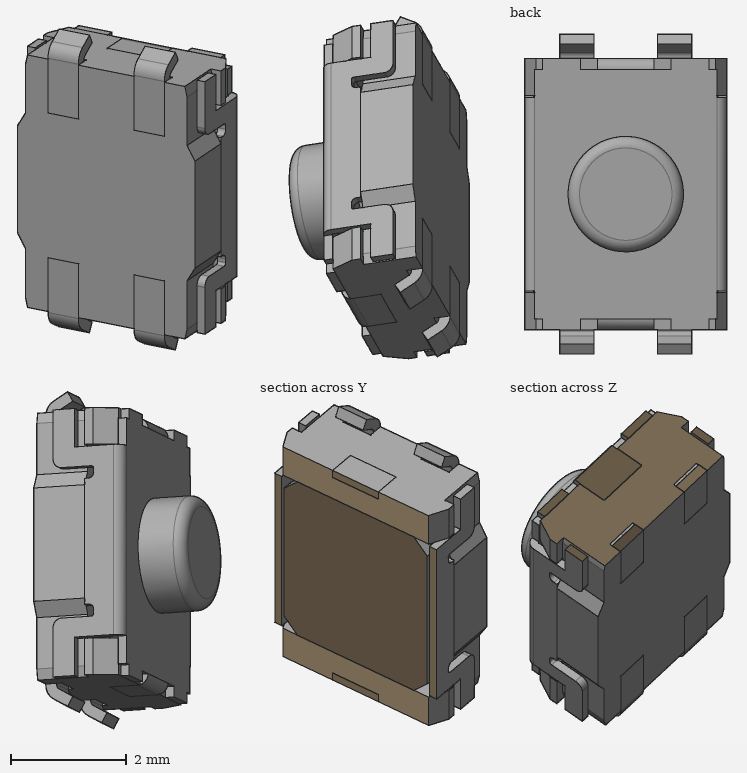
import cadquery as cq
import math


width = 3.5
total_height = 2.5
terminal_span = 5.54
half_x = width / 2
half_z = 2.35

sheet = 0.155
cover_top = 1.65
side_half_z = 1.675
side_bend_radius = 0.17
step_z = 2.16
end_tab_inner_x = 0.785
end_tab_outer_x = 1.44
clip_half_x = 0.495
clip_bend_radius = 0.2
hook_top = 0.76
hook_bottom = 0.36
hook_inner_z = 1.325
hook_radius = 0.155
slot_top = 1.11
slot_inner_z = 1.11
slot_outer_radius = 0.05
slot_inner_radius = 0.1

ledge_y = 0.94
base_top = cover_top - sheet
end_wall_z = 1.705
wall_chamfer_x = 0.2
wall_chamfer_y = 0.4
recess_x = half_x - sheet
ramp_inner_z = 0.995
ramp_outer_z = 1.26
taper_start_z = step_z
taper_depth = 0.045
relief_radius = 0.09

button_diameter = 2.0
button_fillet = 0.2
flange_half_x = 1.55
flange_bottom = 1.25
flange_top = 1.45
flange_chamfer = 0.275

terminal_width = 0.6
terminal_thickness = 0.2
terminal_x = 0.85
terminal_inner_z = 1.345
bend_start_z = 2.365
bend_radius = 0.3
bend_angle = math.radians(60)

BOTH_SIDES = (1, -1)


def block(x_range, y_range, z_range):
    """Axis-aligned box given by its limits along each axis."""
    corners = list(zip(x_range, y_range, z_range))
    size = [high - low for low, high in zip(*corners)]
    return cq.Workplane("XY").box(*size, centered=False).translate(corners[0])


def plate(outline, y_low, y_high):
    """Plate with an (x, z) outline, between two Y levels."""
    sketch = cq.Workplane("XZ", origin=(0, y_low, 0)).polyline(outline).close()
    return sketch.extrude(y_low - y_high)


def both_x(body):
    return body.union(body.mirror("YZ"))


def both_z(body):
    return body.union(body.mirror("XY"))



def make_terminal(x_sign, z_sign):
    """Flat strip flush with the mounting face, its free end bent up."""
    sin_bend = math.sin(bend_angle)
    cos_bend = math.cos(bend_angle)
    inner_radius = bend_radius - terminal_thickness

    def on_bend(radius, angle):
        return (bend_radius - radius * math.cos(angle), bend_start_z + radius * math.sin(angle))

    outer_end = on_bend(bend_radius, bend_angle)
    inner_end = on_bend(inner_radius, bend_angle)
    free_length = (terminal_span / 2 - outer_end[1]) / cos_bend
    tip_y = free_length * sin_bend
    tip_z = free_length * cos_bend

    strip = (
        cq.Workplane("YZ")
        .moveTo(0, terminal_inner_z)
        .lineTo(0, bend_start_z)
        .threePointArc(on_bend(bend_radius, bend_angle / 2), outer_end)
        .line(tip_y, tip_z)
        .lineTo(inner_end[0] + tip_y, inner_end[1] + tip_z)
        .lineTo(*inner_end)
        .threePointArc(on_bend(inner_radius, bend_angle / 2), (terminal_thickness, bend_start_z))
        .lineTo(terminal_thickness, terminal_inner_z)
        .close()
        .extrude(terminal_width / 2, both=True)
    )
    if z_sign < 0:
        strip = strip.mirror("XY")
    return strip.translate((x_sign * terminal_x, 0, 0))



def make_top_plate():
    """Top of the cover with a pair of tabs at each end and rounded side edges."""
    middle = block((-half_x, half_x), (ledge_y, cover_top), (-side_half_z, side_half_z))
    middle = middle.edges("|Z and >Y").fillet(side_bend_radius)
    cavity = block((-recess_x, recess_x), (ledge_y, base_top), (-side_half_z, side_half_z))
    plate_half_x = half_x - side_bend_radius
    end_plate = block((-plate_half_x, plate_half_x), (base_top, cover_top), (-step_z, step_z))
    tab = block((end_tab_inner_x, end_tab_outer_x), (base_top, cover_top), (-half_z, half_z))
    return middle.cut(cavity).union(end_plate).union(both_x(tab))


def make_end_clip():
    """Narrow flap bent down over the end wall of the base."""
    x_range = (-clip_half_x, clip_half_x)
    clip = block(x_range, (ledge_y, cover_top), (half_z - sheet, half_z))
    bridge = block(x_range, (base_top, cover_top), (side_half_z, half_z))
    return clip.union(bridge).edges("|X and >Y and >Z").fillet(clip_bend_radius)


def make_hook():
    """L-shaped extension of a side wall, reaching down and out to the end of the base."""
    x_range = (recess_x, half_x)
    stem = block(x_range, (hook_bottom, ledge_y), (hook_inner_z, side_half_z))
    foot = block(x_range, (hook_bottom, hook_top), (hook_inner_z, half_z))
    return stem.union(foot).edges("|X and <Y and <Z").fillet(hook_radius)


def make_hook_slot():
    """Rounded relief at the root of a hook, open at the lower edge of the side wall."""
    slot = block((recess_x, half_x), (ledge_y, slot_top), (slot_inner_z, hook_inner_z))
    slot = slot.edges("|X and >Y and >Z").fillet(slot_outer_radius)
    return slot.edges("|X and >Y and <Z").fillet(slot_inner_radius)


def make_cover():
    cover = make_top_plate().union(both_z(make_end_clip()))
    cover = cover.union(both_z(both_x(make_hook())))
    cover = cover.cut(both_z(both_x(make_hook_slot())))
    button_hole = cq.Workplane("XZ").circle(button_diameter / 2).extrude(-total_height)
    return cover.cut(button_hole)



def make_tray():
    """Lower block of the base, set back at its corners where the hooks sit."""
    tapered_x = recess_x - taper_depth
    quarter = [
        (0, 0),
        (half_x, 0),
        (half_x, ramp_inner_z),
        (recess_x, ramp_outer_z),
        (recess_x, taper_start_z),
        (tapered_x, half_z),
        (0, half_z),
    ]
    return both_z(both_x(plate(quarter, 0, ledge_y)))


def make_end_wall():
    """Raised wall with chamfered shoulders and a seat for the end clip of the cover."""
    wall = (
        cq.Workplane("XY", origin=(0, 0, end_wall_z))
        .moveTo(-half_x, ledge_y)
        .lineTo(half_x, ledge_y)
        .lineTo(half_x, base_top - wall_chamfer_y)
        .lineTo(half_x - wall_chamfer_x, base_top)
        .lineTo(-half_x + wall_chamfer_x, base_top)
        .lineTo(-half_x, base_top - wall_chamfer_y)
        .close()
        .extrude(half_z - end_wall_z)
    )
    seat = block((-clip_half_x, clip_half_x), (ledge_y, base_top), (half_z - sheet, half_z))
    return wall.cut(seat)


def make_bend_relief(x_sign):
    """Round groove along the base edge, leaving room for the inside of a terminal bend."""
    return (
        cq.Workplane("YZ", origin=(x_sign * terminal_x, 0, 0))
        .center(terminal_thickness, half_z)
        .circle(relief_radius)
        .extrude(terminal_width / 2, both=True)
    )


def make_base(terminal_bodies):
    base = make_tray().union(both_z(make_end_wall()))
    for terminal in terminal_bodies:
        base = base.cut(terminal)
    for x_sign in BOTH_SIDES:
        base = base.cut(both_z(make_bend_relief(x_sign)))
    return base



def make_button():
    """Round button with a chamfered flange that keeps it under the cover."""
    stem = (
        cq.Workplane("XZ", origin=(0, ledge_y, 0))
        .circle(button_diameter / 2)
        .extrude(ledge_y - total_height)
        .faces(">Y")
        .edges()
        .fillet(button_fillet)
    )
    flange = block((-flange_half_x, flange_half_x), (flange_bottom, flange_top), (-end_wall_z, end_wall_z))
    return stem.union(flange.edges("|Y").chamfer(flange_chamfer))


terminals = [make_terminal(x_sign, z_sign) for x_sign in BOTH_SIDES for z_sign in BOTH_SIDES]
base = make_base(terminals)
cover = make_cover()
button = make_button()

result = cq.Compound.makeCompound(
    [base.val(), cover.val(), button.val(), *[terminal.val() for terminal in terminals]]
)